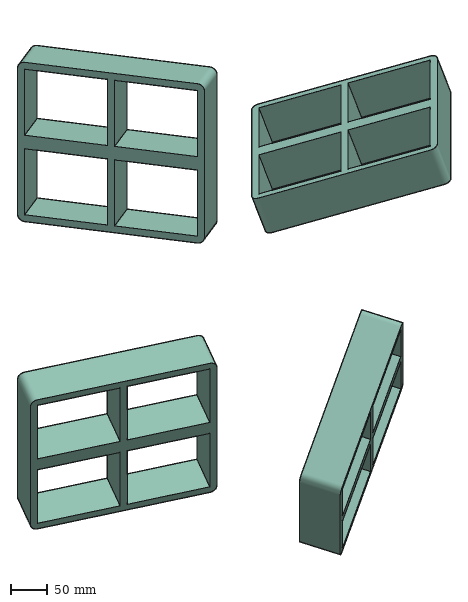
import cadquery as cq

width = 271.0
depth = 60.0
height = 242.0
corner_radius = 10.5

outer_wall = 10.5
upright_thickness = 10.5
shelf_thickness = 20.5

window_width = (width - 2 * outer_wall - upright_thickness) / 2
window_height = (height - 2 * outer_wall - shelf_thickness) / 2
window_pitch_x = window_width + upright_thickness
window_pitch_z = window_height + shelf_thickness

block = cq.Workplane("XY").box(width, depth, height).edges("|Y").fillet(corner_radius)

windows = (
    cq.Workplane("XZ")
    .rarray(window_pitch_x, window_pitch_z, 2, 2)
    .rect(window_width, window_height)
    .extrude(depth, both=True)
)

result = block.cut(windows)